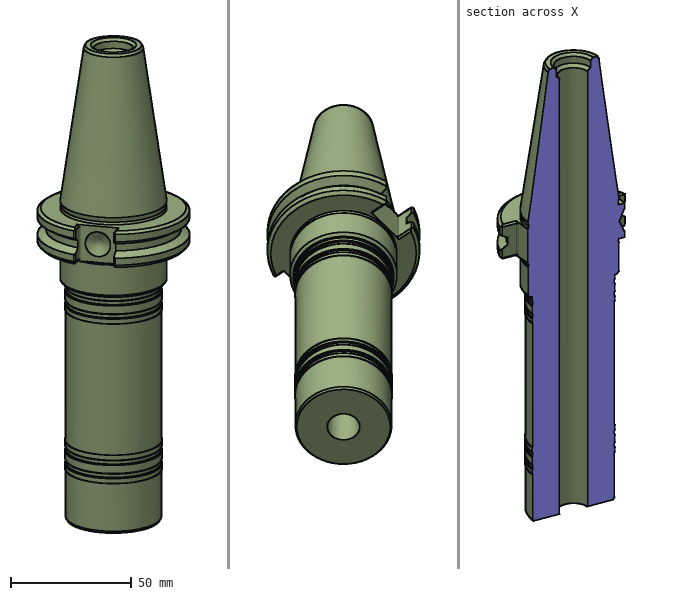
import cadquery as cq
import math

total_length = 207.6

gauge_z = 139.3
gauge_diameter = 44.5
taper_ratio = 7 / 24
taper_chamfer_height = 1.2
taper_end_diameter = 23.5

flange_diameter = 63.3
flange_top_z = 136.2
flange_thickness = 16.0
flange_top_chamfer_width = 1.5
flange_top_chamfer_height = 1.0
flange_bottom_chamfer = 1.5
v_groove_z = 128.3
v_groove_floor_diameter = 56.3
v_groove_floor_width = 3.1
v_groove_flank_angle = 30

relief_depth = 0.5
upper_relief_z = 137.3
lower_relief_z = 119.2
lower_relief_end_z = 118.5

collar_bottom_z = 104.0
collar_chamfer = 1.2

body_diameter = 40.0
body_chamfer_width = 0.6
body_chamfer_height = 1.0
band_diameter = 40.5
band_length = 12.5
band_top_heights = (104.5, 34.5)
ring_groove_flank_angle = 45
ring_groove_offset = 3.0
ring_groove_floor_width = 1.5
ring_groove_depth = 0.5

bore_diameter = 13.5
counterbore_diameter = 16.5
counterbore_depth = 4.4
counterbore_floor_drop = 1.5
counterbore_chamfer = 1.2

slot_width = 16.5
slot_corner_radius = 0.5
slot_edge_chamfer = 0.8
front_slot_floor = 25.0
back_slot_floor = 22.5
dimple_diameter = 10.8
dimple_tip_angle = 130

gauge_radius = gauge_diameter / 2
flange_radius = flange_diameter / 2
v_groove_floor_radius = v_groove_floor_diameter / 2
flange_bottom_z = flange_top_z - flange_thickness
body_radius = body_diameter / 2
band_radius = band_diameter / 2
ring_groove_floor_radius = band_radius - ring_groove_depth

cutter_overrun = 2.0


def revolve_profile(points):
    """Solid of revolution about Z from (radius, z) points."""
    return cq.Workplane("XZ").polyline(points).close().revolve(360, (0, 0, 0), (0, 1, 0))


def make_shank():
    """Taper, flange blank, collar and plain body."""
    taper_top_z = total_length - taper_chamfer_height
    taper_top_radius = gauge_radius - (taper_top_z - gauge_z) * taper_ratio / 2
    return revolve_profile([
        (0, total_length),
        (taper_end_diameter / 2, total_length),
        (taper_top_radius, taper_top_z),
        (gauge_radius, gauge_z),
        (gauge_radius - relief_depth, upper_relief_z),
        (gauge_radius, flange_top_z),
        (flange_radius - flange_top_chamfer_width, flange_top_z),
        (flange_radius, flange_top_z - flange_top_chamfer_height),
        (flange_radius, flange_bottom_z + flange_bottom_chamfer),
        (flange_radius - flange_bottom_chamfer, flange_bottom_z),
        (gauge_radius, flange_bottom_z),
        (gauge_radius - relief_depth, lower_relief_z),
        (gauge_radius, lower_relief_end_z),
        (gauge_radius, collar_bottom_z + collar_chamfer),
        (gauge_radius - collar_chamfer, collar_bottom_z),
        (body_radius, collar_bottom_z),
        (body_radius, body_chamfer_height),
        (body_radius - body_chamfer_width, 0),
        (0, 0),
    ])


def make_groove(z, outer_radius, floor_radius, floor_width, flank_angle):
    """Ring-shaped cutter whose flanks open outward by flank_angle from the radial direction."""
    depth = outer_radius - floor_radius
    half_floor = floor_width / 2
    half_mouth = half_floor + depth * math.tan(math.radians(flank_angle))
    return revolve_profile([
        (floor_radius, z - half_floor),
        (outer_radius, z - half_mouth),
        (outer_radius, z + half_mouth),
        (floor_radius, z + half_floor),
    ])


def add_band(body, top_z):
    """Add a raised band below top_z and cut its two ring grooves."""
    bottom_z = top_z - band_length
    middle_z = (top_z + bottom_z) / 2
    band = cq.Workplane("XY", origin=(0, 0, bottom_z)).circle(band_radius).extrude(band_length)
    body = body.union(band)
    for offset in (-ring_groove_offset, ring_groove_offset):
        body = body.cut(make_groove(
            middle_z + offset, band_radius, ring_groove_floor_radius,
            ring_groove_floor_width, ring_groove_flank_angle))
    return body


def make_bore():
    """Through bore with its counterbore and mouth chamfer."""
    counterbore_radius = counterbore_diameter / 2
    ledge_z = total_length - counterbore_depth
    return revolve_profile([
        (0, 0),
        (bore_diameter / 2, 0),
        (bore_diameter / 2, ledge_z - counterbore_floor_drop),
        (counterbore_radius, ledge_z),
        (counterbore_radius, total_length - counterbore_chamfer),
        (counterbore_radius + counterbore_chamfer, total_length),
        (0, total_length),
    ])


def make_slot(floor_distance, direction):
    """Drive slot cutter, chamfered along its rims, on the -Y (-1) or +Y (1) side."""
    half_width = slot_width / 2
    outer_y = flange_radius + cutter_overrun
    rim_y = math.sqrt(flange_radius**2 - half_width**2) - slot_edge_chamfer
    mouth_half_width = half_width + outer_y - rim_y
    slot = (
        cq.Workplane("XY", origin=(0, 0, flange_bottom_z))
        .polyline([
            (-half_width, floor_distance),
            (half_width, floor_distance),
            (half_width, rim_y),
            (mouth_half_width, outer_y),
            (-mouth_half_width, outer_y),
            (-half_width, rim_y),
        ])
        .close()
        .extrude(flange_thickness)
        .faces("<Y").edges("|Z").fillet(slot_corner_radius)
    )
    for face_z, inward in ((flange_top_z, -1), (flange_bottom_z, 1)):
        rim_z = face_z + inward * slot_edge_chamfer
        rim_half_width = half_width + slot_edge_chamfer
        rim_wedge = (
            cq.Workplane("XZ", origin=(0, outer_y, 0))
            .polyline([
                (-half_width, rim_z),
                (half_width, rim_z),
                (rim_half_width, face_z),
                (-rim_half_width, face_z),
            ])
            .close()
            .extrude(outer_y - floor_distance)
        )
        slot = slot.union(rim_wedge)
    if direction < 0:
        slot = slot.rotate((0, 0, 0), (0, 0, 1), 180)
    return slot


def make_dimple():
    """Cone pointing from the -Y slot floor toward the axis."""
    radius = dimple_diameter / 2
    tip_length = radius / math.tan(math.radians(dimple_tip_angle / 2))
    dimple = revolve_profile([
        (0, 0),
        (radius, 0),
        (0, tip_length),
    ])
    return dimple.rotate((0, 0, 0), (1, 0, 0), -90).translate((0, -front_slot_floor, v_groove_z))


result = make_shank()
result = result.cut(make_slot(front_slot_floor, -1))
result = result.cut(make_slot(back_slot_floor, 1))
result = result.cut(make_dimple())
result = result.cut(make_groove(
    v_groove_z, flange_radius, v_groove_floor_radius, v_groove_floor_width, v_groove_flank_angle))
for band_top_z in band_top_heights:
    result = add_band(result, band_top_z)
result = result.cut(make_bore())